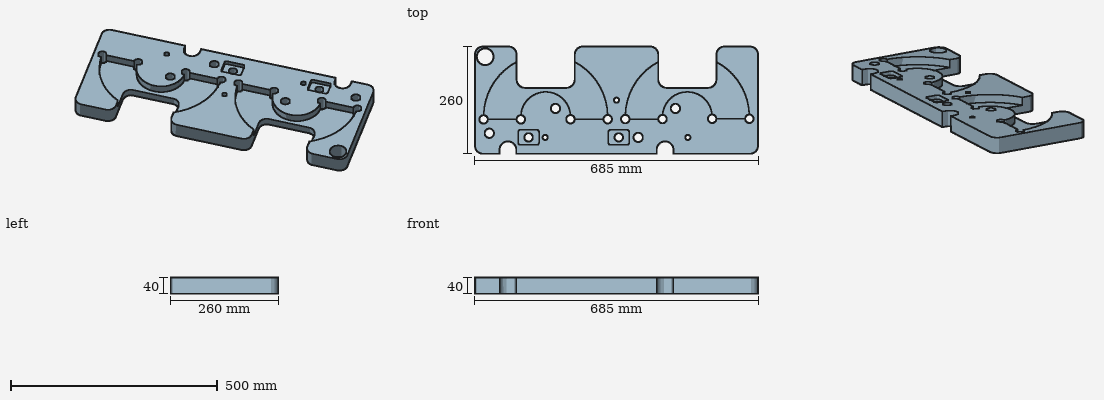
import cadquery as cq

LENGTH = 685.0
WIDTH = 260.0
THICKNESS = 40.0
CORNER_RADIUS = 20.0

STATION_CENTRES_X = (LENGTH / 4, LENGTH * 3 / 4)

REAR_NOTCH_WIDTH = 140.0
REAR_NOTCH_DEPTH = 100.0

FRONT_NOTCH_CENTRES_X = (80.0, 460.0)
FRONT_NOTCH_WIDTH = 40.0
FRONT_NOTCH_DEPTH = 30.0

RING_OUTER_RADIUS = 150.0
RING_INNER_RADIUS = 60.0
RING_FRONT_EDGES_Y = ((83.5, 83.9), (84.3, 85.0))
RING_ARC_Y = 90.0
RING_DEPTH = 20.0
RELIEF_DIAMETER = 20.0

POCKET_CENTRES = ((130.0, 40.0), (348.0, 40.0))
POCKET_LENGTH = 50.5
POCKET_WIDTH = 36.5
POCKET_CORNER_RADIUS = 5.5
POCKET_DEPTH = 10.0
POCKET_HOLE_DIAMETER = 20.0

LARGE_HOLE_DIAMETER = 40.0
LARGE_HOLE_CENTRES = ((25.0, 235.0),)
MEDIUM_HOLE_DIAMETER = 22.0
MEDIUM_HOLE_CENTRES = ((35.0, 50.0), (195.0, 110.0), (395.0, 40.0), (485.0, 110.0))
SMALL_HOLE_DIAMETER = 12.0
SMALL_HOLE_CENTRES = ((170.0, 40.0), (LENGTH / 2, WIDTH / 2), (515.0, 40.0))


def through_holes(diameter, centres):
    """Cylinders through the full thickness at the given centres."""
    return cq.Workplane("XY").pushPoints(centres).circle(diameter / 2).extrude(THICKNESS)


def plate_blank():
    """Plate with the rear notches, all its vertical corners rounded."""
    plate = cq.Workplane("XY").box(LENGTH, WIDTH, THICKNESS, centered=False)
    notch_centres = [(x, WIDTH) for x in STATION_CENTRES_X]
    notches = (
        cq.Workplane("XY")
        .pushPoints(notch_centres)
        .rect(REAR_NOTCH_WIDTH, 2 * REAR_NOTCH_DEPTH)
        .extrude(THICKNESS)
    )
    return plate.cut(notches).edges("|Z").fillet(CORNER_RADIUS)


def front_notch(centre_x):
    """Slot open at the front edge with a semicircular inner end."""
    radius = FRONT_NOTCH_WIDTH / 2
    straight = FRONT_NOTCH_DEPTH - radius
    return (
        cq.Workplane("XY")
        .moveTo(centre_x - radius, 0)
        .lineTo(centre_x - radius, straight)
        .threePointArc((centre_x, FRONT_NOTCH_DEPTH), (centre_x + radius, straight))
        .lineTo(centre_x + radius, 0)
        .close()
        .extrude(THICKNESS)
    )


def half_ring(centre_x, left_front_y, right_front_y):
    """Half-ring recess with short straight legs, open to the top face."""
    outer_left = centre_x - RING_OUTER_RADIUS
    outer_right = centre_x + RING_OUTER_RADIUS
    inner_left = centre_x - RING_INNER_RADIUS
    inner_right = centre_x + RING_INNER_RADIUS
    return (
        cq.Workplane("XY", origin=(0, 0, THICKNESS - RING_DEPTH))
        .moveTo(outer_left, left_front_y)
        .lineTo(outer_left, RING_ARC_Y)
        .threePointArc((centre_x, RING_ARC_Y + RING_OUTER_RADIUS), (outer_right, RING_ARC_Y))
        .lineTo(outer_right, right_front_y)
        .lineTo(inner_right, right_front_y)
        .lineTo(inner_right, RING_ARC_Y)
        .threePointArc((centre_x, RING_ARC_Y + RING_INNER_RADIUS), (inner_left, RING_ARC_Y))
        .lineTo(inner_left, left_front_y)
        .close()
        .extrude(RING_DEPTH)
    )


def corner_reliefs(centre_x, left_front_y, right_front_y):
    """Through holes at the four front corners of a half-ring recess."""
    centres = [
        (centre_x - RING_OUTER_RADIUS, left_front_y),
        (centre_x - RING_INNER_RADIUS, left_front_y),
        (centre_x + RING_INNER_RADIUS, right_front_y),
        (centre_x + RING_OUTER_RADIUS, right_front_y),
    ]
    return through_holes(RELIEF_DIAMETER, centres)


def pockets():
    """Round-cornered rectangular pockets sunk into the top face."""
    return (
        cq.Workplane("XY", origin=(0, 0, THICKNESS - POCKET_DEPTH))
        .pushPoints(POCKET_CENTRES)
        .rect(POCKET_LENGTH, POCKET_WIDTH)
        .extrude(POCKET_DEPTH)
        .edges("|Z")
        .fillet(POCKET_CORNER_RADIUS)
    )


part = plate_blank()
for notch_x in FRONT_NOTCH_CENTRES_X:
    part = part.cut(front_notch(notch_x))
for station_x, (left_front_y, right_front_y) in zip(STATION_CENTRES_X, RING_FRONT_EDGES_Y):
    part = part.cut(half_ring(station_x, left_front_y, right_front_y))
    part = part.cut(corner_reliefs(station_x, left_front_y, right_front_y))
part = part.cut(pockets())
part = part.cut(through_holes(POCKET_HOLE_DIAMETER, POCKET_CENTRES))
part = part.cut(through_holes(LARGE_HOLE_DIAMETER, LARGE_HOLE_CENTRES))
part = part.cut(through_holes(MEDIUM_HOLE_DIAMETER, MEDIUM_HOLE_CENTRES))
part = part.cut(through_holes(SMALL_HOLE_DIAMETER, SMALL_HOLE_CENTRES))

result = part